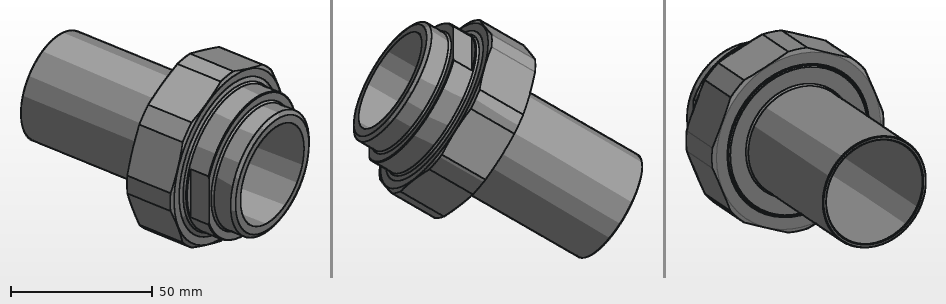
import cadquery as cq
import math


total_length = 94.5
bore_radius = 39.0 / 2
joint_x = 62.4
thread_radius = 60.4 / 2

tube_radius = 42.0 / 2
edge_break = 0.3
bead_x = 54.3
bead_radius = 43.1 / 2
flange_x = 55.2
flange_radius = 56.5 / 2
flange_chamfer = 0.5
shoulder_x = 59.5
shoulder_radius = 60.0 / 2

nut_left = 55.7
nut_right = 75.4
nut_corner_radius = 69.6 / 2
nut_across_flats = 66.9
nut_sides = 8
nut_face_radius = 33.3
left_bevel = 0.4
right_bevel = 0.6
lip_chamfer = 0.6

collar_radius = 56.0 / 2
collar_base_radius = 28.5
collar_base_x = 76.0
collar_x = 76.8
collar_end = 85.4
collar_chamfer = 0.3
flat_x = 77.4
flat_half_width = 26.0
spigot_radius = 48.3 / 2
spigot_root_radius = 24.8
spigot_x = 86.3
spigot_chamfer_length = 1.0
spigot_chamfer_depth = 1.6


def revolve_profile(points):
    """Revolve an (x, radius) outline one full turn about the X axis."""
    return cq.Workplane("XY").polyline(points).close().revolve(360, (0, 0, 0), (1, 0, 0))


def make_tailpiece():
    return revolve_profile([
        (0, bore_radius + edge_break),
        (0, tube_radius - edge_break),
        (edge_break, tube_radius),
        (bead_x, tube_radius),
        (flange_x, bead_radius),
        (flange_x, flange_radius - flange_chamfer),
        (flange_x + flange_chamfer, flange_radius),
        (shoulder_x, flange_radius),
        (shoulder_x, shoulder_radius),
        (joint_x, shoulder_radius),
        (joint_x, bore_radius),
        (edge_break, bore_radius),
    ])


def make_nut():
    envelope = revolve_profile([
        (nut_left, flange_radius + lip_chamfer),
        (nut_left, nut_face_radius),
        (nut_left + left_bevel, nut_corner_radius),
        (nut_right - right_bevel, nut_corner_radius),
        (nut_right, nut_face_radius),
        (nut_right, thread_radius),
        (shoulder_x, thread_radius),
        (shoulder_x, flange_radius),
        (nut_left + lip_chamfer, flange_radius),
    ])
    corner_diameter = nut_across_flats / math.cos(math.pi / nut_sides)
    octagon = (
        cq.Workplane("YZ", origin=(nut_left, 0, 0))
        .polygon(nut_sides, corner_diameter)
        .extrude(nut_right - nut_left)
    )
    return envelope.intersect(octagon)


def make_body():
    body = revolve_profile([
        (joint_x, bore_radius),
        (joint_x, thread_radius),
        (nut_right, thread_radius),
        (collar_base_x, collar_base_radius),
        (collar_x, collar_radius),
        (collar_end - collar_chamfer, collar_radius),
        (collar_end, collar_radius - collar_chamfer),
        (collar_end, spigot_root_radius),
        (spigot_x, spigot_radius),
        (total_length - spigot_chamfer_length, spigot_radius),
        (total_length, spigot_radius - spigot_chamfer_depth),
        (total_length, bore_radius),
    ])
    flat_length = collar_end - flat_x
    flat_depth = collar_radius - flat_half_width
    for side in (-1, 1):
        cutter = cq.Workplane("XY").box(flat_length, flat_depth, 2 * collar_radius)
        cutter_y = side * (flat_half_width + flat_depth / 2)
        body = body.cut(cutter.translate((flat_x + flat_length / 2, cutter_y, 0)))
    return body


tailpiece = make_tailpiece()
nut = make_nut()
body = make_body()

result = cq.Compound.makeCompound([tailpiece.val(), nut.val(), body.val()])